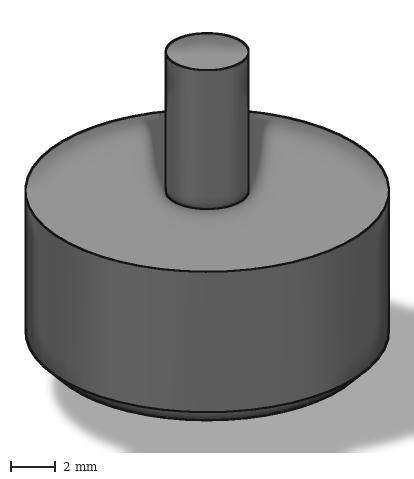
import cadquery as cq

total_height = 16.9
body_diameter = 16.2
pin_diameter = 3.7
pin_length = 6.91
chamfer_size = 0.81
cone_height = 2.18

body_radius = body_diameter / 2
pin_radius = pin_diameter / 2
cone_radius = body_radius - chamfer_size
chamfer_top = cone_height + chamfer_size
body_top = total_height - pin_length

profile = (
    cq.Workplane("XZ")
    .moveTo(0, 0)
    .lineTo(cone_radius, cone_height)
    .lineTo(body_radius, chamfer_top)
    .lineTo(body_radius, body_top)
    .lineTo(pin_radius, body_top)
    .lineTo(pin_radius, total_height)
    .lineTo(0, total_height)
    .close()
)

result = profile.revolve(360, (0, 0, 0), (0, 1, 0))